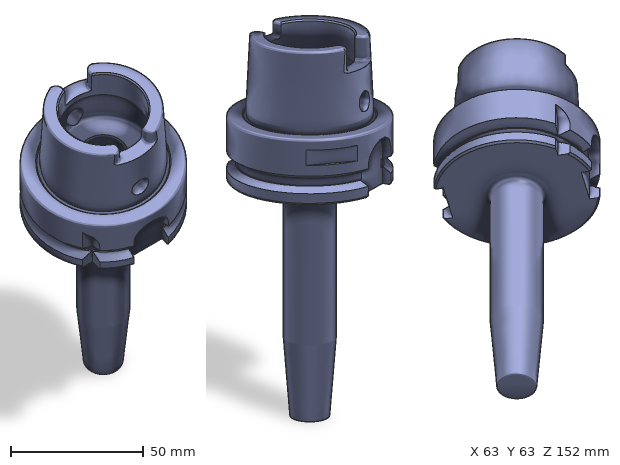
import cadquery as cq
import math

total_length = 152.0

taper_height = 31.9
taper_base_radius = 24.2
taper_slope = 1 / 20
rim_round = 1.0
neck_height = 2.0
neck_depth = 0.3
face_recess_radius = 25.5
face_recess_depth = 0.5

bore_radius = 17.0
bore_floor_z = 4.4
bore_mouth_chamfer = 0.6
undercut_radius = 18.5
undercut_top_z = 19.2
undercut_fillet = 2.7
pilot_radius = 9.5
pilot_depth = 6.1
pilot_chamfer = 0.6

drive_slot_half_width = 6.2
drive_slot_flare_radius = 2.9
drive_slot_flare_start = 17.6
drive_slot_floor_fillet = 1.2
drive_slot_outer_half_width = 12.2
left_drive_slot_depth = 9.9
right_drive_slot_depth = 6.1
clamp_hole_radius = 4.0
clamp_hole_z = 8.8

flange_radius = 31.5
flange_height = 26.0
flange_top_round = 1.0
flange_bottom_chamfer = 0.8
groove_centre_z = -18.0
groove_half_width = 3.5
groove_radius = 27.5
groove_flank_angle = 30.0
groove_ledge = 0.6

keyway_floor = 26.5
left_keyway_half_width = 9.0
left_keyway_arch_z = -13.7
right_keyway_half_width = 8.0
right_keyway_arch_z = -12.3
corner_notch_inset = 19.8
corner_notch_half_width = right_keyway_half_width
corner_notch_centre_y = -corner_notch_inset - corner_notch_half_width
flat_distance = 29.8
flat_direction = 135.0
flat_top_z = -4.1
flat_height = 6.1

shank_radius = 10.0
shank_fillet = 3.2
nose_length = 31.5
nose_radius = 7.6
nose_round = 0.8


def build_body():
    """Revolve the outer profile of taper, flange and shank."""
    neck_radius = taper_base_radius - neck_depth
    taper_top_radius = taper_base_radius - taper_slope * (taper_height - neck_height)
    bottom_z = taper_height - total_length
    flank_foot_radius = groove_radius + groove_ledge
    flank_height = (flange_radius - flank_foot_radius) * math.tan(math.radians(groove_flank_angle))
    groove_top = groove_centre_z + groove_half_width
    groove_bottom = groove_centre_z - groove_half_width
    flange_x = flange_radius - flange_top_round
    flange_turn = flange_top_round * math.sqrt(0.5)
    fillet_turn = shank_fillet * (1 - math.sqrt(0.5))
    nose_turn = nose_round * math.sqrt(0.5)

    return (
        cq.Workplane("XZ")
        .moveTo(0, taper_height)
        .lineTo(taper_top_radius, taper_height)
        .lineTo(taper_base_radius, neck_height)
        .lineTo(neck_radius, -face_recess_depth)
        .lineTo(face_recess_radius - face_recess_depth, -face_recess_depth)
        .lineTo(face_recess_radius, 0)
        .lineTo(flange_x, 0)
        .threePointArc(
            (flange_x + flange_turn, -flange_top_round + flange_turn),
            (flange_radius, -flange_top_round),
        )
        .lineTo(flange_radius, groove_top)
        .lineTo(flank_foot_radius, groove_top - flank_height)
        .lineTo(groove_radius, groove_top - flank_height)
        .lineTo(groove_radius, groove_bottom + flank_height)
        .lineTo(flank_foot_radius, groove_bottom + flank_height)
        .lineTo(flange_radius, groove_bottom)
        .lineTo(flange_radius, flange_bottom_chamfer - flange_height)
        .lineTo(flange_radius - flange_bottom_chamfer, -flange_height)
        .lineTo(shank_radius + shank_fillet, -flange_height)
        .threePointArc(
            (shank_radius + fillet_turn, -flange_height - fillet_turn),
            (shank_radius, -flange_height - shank_fillet),
        )
        .lineTo(shank_radius, bottom_z + nose_length)
        .lineTo(nose_radius, bottom_z + nose_round)
        .threePointArc(
            (nose_radius - nose_round + nose_turn, bottom_z + nose_round - nose_turn),
            (nose_radius - nose_round, bottom_z),
        )
        .lineTo(0, bottom_z)
        .close()
        .revolve(360, (0, 0, 0), (0, 1, 0))
    )


def bore_tool():
    """Bore with a chamfered mouth, a wider round-bottomed undercut and a chamfered pilot hole below."""
    bore = (
        cq.Workplane("XY", origin=(0, 0, undercut_top_z))
        .circle(bore_radius)
        .extrude(taper_height - undercut_top_z)
    )
    undercut = (
        cq.Workplane("XY", origin=(0, 0, bore_floor_z))
        .circle(undercut_radius)
        .extrude(undercut_top_z - bore_floor_z)
        .faces("<Z").edges().fillet(undercut_fillet)
    )
    mouth = cone_tool(bore_radius, bore_mouth_chamfer, taper_height)
    pilot = (
        cq.Workplane("XY", origin=(0, 0, bore_floor_z))
        .circle(pilot_radius - pilot_chamfer)
        .extrude(-pilot_depth)
    )
    pilot_mouth = cone_tool(pilot_radius - pilot_chamfer, pilot_chamfer, bore_floor_z)
    return bore.union(undercut).union(mouth).union(pilot).union(pilot_mouth)


def cone_tool(hole_radius, chamfer, mouth_z):
    """45 degree countersink that widens a hole of the given radius at its mouth."""
    return cq.Workplane(
        cq.Solid.makeCone(hole_radius, hole_radius + chamfer, chamfer, cq.Vector(0, 0, mouth_z - chamfer))
    )


def drive_slot_tool(side, depth):
    """Radial rim slot whose walls flare outwards in an arc; side is +1 for +X and -1 for -X."""
    wall = drive_slot_half_width
    flare = drive_slot_flare_radius
    flare_turn = flare * math.sqrt(0.5)
    arc_x = drive_slot_flare_start
    flare_end = (arc_x + flare, wall + flare)
    flare_mid = (arc_x + flare_turn, wall + flare - flare_turn)
    outer_x = flange_radius
    outer_y = drive_slot_outer_half_width

    def at(point, mirror=1):
        return side * point[0], mirror * point[1]

    return (
        cq.Workplane("XY", origin=(0, 0, taper_height - depth))
        .moveTo(0, -wall)
        .lineTo(side * arc_x, -wall)
        .threePointArc(at(flare_mid, -1), at(flare_end, -1))
        .lineTo(side * (arc_x + flare), -outer_y)
        .lineTo(side * outer_x, -outer_y)
        .lineTo(side * outer_x, outer_y)
        .lineTo(side * (arc_x + flare), outer_y)
        .lineTo(*at(flare_end))
        .threePointArc(at(flare_mid), (side * arc_x, wall))
        .lineTo(0, wall)
        .close()
        .extrude(depth)
        .faces("<Z").edges("not(<X or >X)").fillet(drive_slot_floor_fillet)
    )


def arched_tool(side, floor, centre_y, half_width, centre_z):
    """Round-topped recess cut along X from outside down to a flat floor, open at the flange bottom."""
    return (
        cq.Workplane("YZ", origin=(side * floor, 0, 0))
        .moveTo(centre_y - half_width, -flange_height)
        .lineTo(centre_y - half_width, centre_z)
        .threePointArc((centre_y, centre_z + half_width), (centre_y + half_width, centre_z))
        .lineTo(centre_y + half_width, -flange_height)
        .close()
        .extrude(side * flange_radius)
    )


def flat_tool():
    """Block that leaves a rectangular flat on the flange rim, halfway between -X and +Y."""
    return (
        cq.Workplane("XY")
        .box(flange_radius, 2 * flange_radius, flat_height, centered=(False, True, False))
        .translate((flat_distance, 0, flat_top_z - flat_height))
        .rotate((0, 0, 0), (0, 0, 1), flat_direction)
    )


left_drive_slot = drive_slot_tool(-1, left_drive_slot_depth)
right_drive_slot = drive_slot_tool(1, right_drive_slot_depth)
left_keyway = arched_tool(-1, keyway_floor, 0, left_keyway_half_width, left_keyway_arch_z)
right_keyway = arched_tool(1, keyway_floor, 0, right_keyway_half_width, right_keyway_arch_z)
corner_notch = arched_tool(
    1, corner_notch_inset, corner_notch_centre_y, corner_notch_half_width, right_keyway_arch_z
)
clamp_hole = (
    cq.Workplane("YZ")
    .center(0, clamp_hole_z)
    .circle(clamp_hole_radius)
    .extrude(flange_radius, both=True)
)

slotted_body = build_body().cut(left_drive_slot).cut(right_drive_slot)
rounded_body = slotted_body.faces(">Z").edges().fillet(rim_round)

result = (
    rounded_body
    .cut(bore_tool())
    .cut(clamp_hole)
    .cut(left_keyway)
    .cut(right_keyway)
    .cut(corner_notch)
    .cut(flat_tool())
)